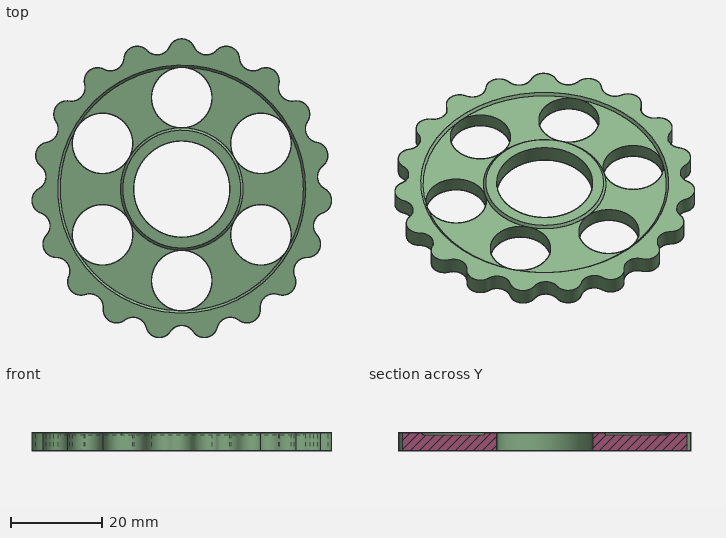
import cadquery as cq
import math

WIDTH = 65.6
THICKNESS = 4.0

TOOTH_COUNT = 19
TOOTH_RADIUS = 2.95
PITCH_ANGLE = 2 * math.pi / TOOTH_COUNT
HALF_PITCH = PITCH_ANGLE / 2

TIP_CENTER_RADIUS = (WIDTH / 2 - TOOTH_RADIUS) / math.cos(PITCH_ANGLE / 4)
ROOT_CENTER_RADIUS = TIP_CENTER_RADIUS * math.cos(HALF_PITCH) + math.sqrt(
    (2 * TOOTH_RADIUS) ** 2 - (TIP_CENTER_RADIUS * math.sin(HALF_PITCH)) ** 2
)

BORE_DIAMETER = 21.0
HOLE_COUNT = 6
HOLE_DIAMETER = 13.2
HOLE_CIRCLE_RADIUS = 20.0

RECESS_DEPTH = 0.5
RECESS_TAPER = 0.5
FLOOR_INNER_RADIUS = HOLE_CIRCLE_RADIUS - HOLE_DIAMETER / 2
FLOOR_OUTER_RADIUS = HOLE_CIRCLE_RADIUS + HOLE_DIAMETER / 2


def polar(radius, angle):
    """Point at a distance from the axis and an angle turned from +Y."""
    return (radius * math.sin(angle), radius * math.cos(angle))


def flank_point(tip_angle, side):
    """Point where a tip arc meets the root arc on the given side (-1 or +1)."""
    tip_x, tip_y = polar(TIP_CENTER_RADIUS, tip_angle)
    root_x, root_y = polar(ROOT_CENTER_RADIUS, tip_angle + side * HALF_PITCH)
    return ((tip_x + root_x) / 2, (tip_y + root_y) / 2)


def toothed_disc():
    """Solid disc with alternating tip and root arcs, one tooth pointing to +Y."""
    outline = cq.Workplane("XY").moveTo(*flank_point(0, -1))
    for tooth in range(TOOTH_COUNT):
        angle = tooth * PITCH_ANGLE
        tip = polar(TIP_CENTER_RADIUS + TOOTH_RADIUS, angle)
        root = polar(ROOT_CENTER_RADIUS - TOOTH_RADIUS, angle + HALF_PITCH)
        outline = outline.threePointArc(tip, flank_point(angle, 1))
        outline = outline.threePointArc(root, flank_point(angle + PITCH_ANGLE, -1))
    return outline.close().extrude(THICKNESS)


def ring_recess():
    """Shallow ring with sloped walls that widens toward the top face."""
    floor = THICKNESS - RECESS_DEPTH
    section = [
        (FLOOR_INNER_RADIUS, floor),
        (FLOOR_OUTER_RADIUS, floor),
        (FLOOR_OUTER_RADIUS + RECESS_TAPER, THICKNESS),
        (FLOOR_INNER_RADIUS - RECESS_TAPER, THICKNESS),
    ]
    return cq.Workplane("XZ").polyline(section).close().revolve(360, (0, 0), (0, 1))


def through_holes():
    """Central bore and the surrounding ring of holes, the first one toward +Y."""
    bore = cq.Workplane("XY").circle(BORE_DIAMETER / 2).extrude(THICKNESS)
    ring = (
        cq.Workplane("XY")
        .polarArray(HOLE_CIRCLE_RADIUS, 90, 360, HOLE_COUNT)
        .circle(HOLE_DIAMETER / 2)
        .extrude(THICKNESS)
    )
    return bore.union(ring)


result = toothed_disc().cut(ring_recess()).cut(through_holes())